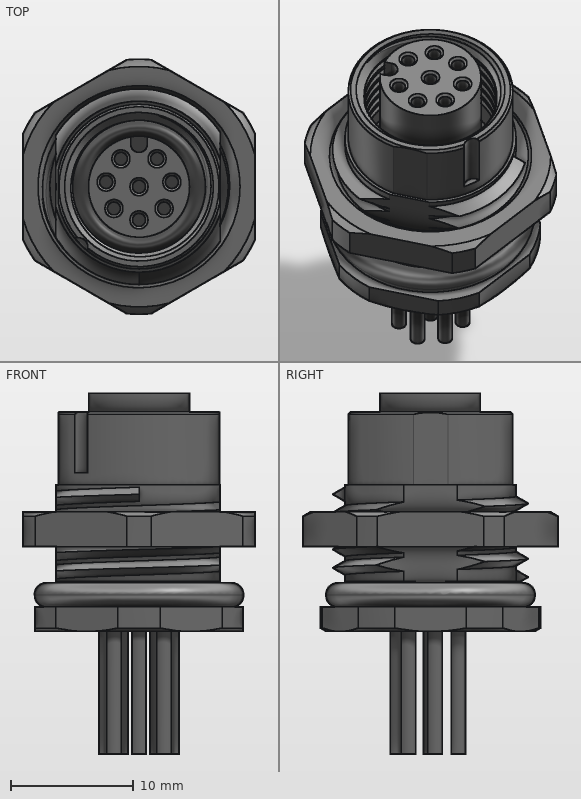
import cadquery as cq
import math


wire_radius = 0.6
wire_length = 10.05
contact_circle_radius = 2.72
contact_pitch_angle = 49.0
outer_contact_count = 7
contact_hole_radius = 0.53
contact_mouth_radius = 0.75
contact_hole_depth = 5.9

flange_across_flats = 17.05
flange_corner_radius = 9.0
flange_thickness = 2.0
ring_section_radius = 1.0
ring_outer_radius = 8.57
ring_squeeze = 0.03
ring_center_radius = ring_outer_radius - ring_section_radius
ring_center_z = flange_thickness + ring_section_radius - ring_squeeze

neck_radius = 6.77
neck_top_z = 4.1
stem_core_radius = 7.0
stem_top_z = 12.0
thread_crest_radius = 8.0
thread_pitch = 1.5
thread_turns = 4.5
thread_end_z = 11.23
flat_left_x = -6.8
flat_right_x = 6.65

collar_radius = 6.75
collar_top_z = 17.97
collar_chamfer = 0.192
collar_flat_x = 6.6
keyway_radius = 0.8
keyway_center_radius = 7.03
keyway_floor_z = 12.97
keyway_angle = 225.0

insert_radius = 4.15
insert_top_z = 19.5
socket_radius = 5.45
socket_floor_z = 10.05
socket_mouth_radius = 6.1
seal_bulge = 0.6
socket_thread_pitch = 1.0
socket_thread_major_radius = 6.03
socket_thread_turns = 7.5
socket_thread_start_z = 11.67
key_slot_width = 1.35
key_slot_floor_y = 2.8

nut_across_flats = 19.0
nut_across_corners = 20.9
nut_corner_radius = nut_across_corners / 2
nut_top_face_radius = 9.85
nut_bottom_z = 6.95
nut_height = 2.85
nut_bore_radius = 7.3
nut_bore_mouth_radius = 8.27

thread_flank_slope = math.tan(math.radians(30))
hex_chamfer_slope = math.tan(math.radians(30))
thread_root_overlap = 0.1
trim_width = 29.55


def cylinder(radius, bottom_z, top_z):
    return cq.Workplane("XY", origin=(0, 0, bottom_z)).circle(radius).extrude(top_z - bottom_z)


def hex_prism(across_flats, corner_radius, bottom_z, height):
    """Hexagon with flats facing +X and -X and its corners turned to a cylinder."""
    prism = (
        cq.Workplane("XY", origin=(0, 0, bottom_z))
        .polygon(6, across_flats / math.cos(math.radians(30)))
        .extrude(height)
        .rotate((0, 0, 0), (0, 0, 1), 30)
    )
    return prism.intersect(cylinder(corner_radius, bottom_z, bottom_z + height))


def hex_chamfer_cutter(face_radius, corner_radius, face_z, inward):
    """Ring that bevels hexagon corners at the face face_z; inward is the Z sign into the body."""
    reach = 2 * (corner_radius - face_radius)
    return (
        cq.Workplane("XZ")
        .moveTo(face_radius, face_z)
        .lineTo(face_radius + reach, face_z)
        .lineTo(face_radius + reach, face_z + inward * reach * hex_chamfer_slope)
        .close()
        .revolve(360, (0, 0, 0), (0, 1, 0))
    )


def helical_vee(root_radius, crest_radius, pitch, turns, start_z):
    """Triangular ridge wound around Z, starting at +X; the crest points away from the axis."""
    base_radius = root_radius - thread_root_overlap
    half_base = (crest_radius - base_radius) * thread_flank_slope
    helix = cq.Wire.makeHelix(pitch, pitch * turns, base_radius)
    ridge = (
        cq.Workplane("XZ")
        .moveTo(base_radius, -half_base)
        .lineTo(crest_radius, 0)
        .lineTo(base_radius, half_base)
        .close()
        .sweep(cq.Workplane(obj=helix), isFrenet=True)
    )
    return ridge.translate((0, 0, start_z))


def threaded_rod(core_radius, thread, bottom_z, top_z):
    """Core cylinder and thread ridge in one solid."""
    return cylinder(core_radius, bottom_z, top_z).union(thread)


def contact_positions():
    """Axis position first, then the outer contacts, centred on -Y."""
    positions = [(0, 0)]
    for index in range(outer_contact_count):
        steps_from_middle = index - (outer_contact_count - 1) / 2
        angle = math.radians(270 + steps_from_middle * contact_pitch_angle)
        positions.append((contact_circle_radius * math.cos(angle), contact_circle_radius * math.sin(angle)))
    return positions


def flat_trim(left_x, right_x, bottom_z, top_z):
    """Slab that leaves only the material between two flats across X."""
    return (
        cq.Workplane("XY", origin=((left_x + right_x) / 2, 0, bottom_z))
        .rect(right_x - left_x, trim_width)
        .extrude(top_z - bottom_z)
    )


def stem_thread():
    start_z = thread_end_z - thread_pitch * thread_turns
    ridge = helical_vee(stem_core_radius, thread_crest_radius, thread_pitch, thread_turns, start_z)
    return ridge.rotate((0, 0, 0), (0, 0, 1), 90)


def make_flange():
    flange = hex_prism(flange_across_flats, flange_corner_radius, 0, flange_thickness)
    return flange.cut(hex_chamfer_cutter(flange_across_flats / 2, flange_corner_radius, 0, 1))


def make_sealing_ring():
    return (
        cq.Workplane("XZ")
        .center(ring_center_radius, ring_center_z)
        .circle(ring_section_radius)
        .revolve(360, (-ring_center_radius, 0, 0), (-ring_center_radius, 1, 0))
    )


def make_stem():
    stem = threaded_rod(stem_core_radius, stem_thread(), neck_top_z, stem_top_z)
    stem = stem.intersect(flat_trim(flat_left_x, flat_right_x, neck_top_z, stem_top_z))
    neck = cylinder(neck_radius, flange_thickness, neck_top_z)
    neck = neck.intersect(flat_trim(flat_left_x, flat_right_x, flange_thickness, neck_top_z))
    return stem.union(neck)


def make_collar():
    collar = cylinder(collar_radius, stem_top_z, collar_top_z).faces(">Z").chamfer(collar_chamfer)
    collar = collar.intersect(flat_trim(-collar_flat_x, collar_flat_x, stem_top_z, collar_top_z))
    angle = math.radians(keyway_angle)
    keyway = cylinder(keyway_radius, keyway_floor_z, collar_top_z).translate(
        (keyway_center_radius * math.cos(angle), keyway_center_radius * math.sin(angle), 0)
    )
    return collar.cut(keyway)


def bevel_cutter(bore_radius, mouth_radius, face_z, outward):
    """45 degree cone that opens a bore at the face face_z; outward is the Z sign out of the body."""
    return (
        cq.Workplane("XZ")
        .moveTo(0, face_z)
        .lineTo(mouth_radius, face_z)
        .lineTo(bore_radius, face_z - outward * (mouth_radius - bore_radius))
        .lineTo(0, face_z - outward * (mouth_radius - bore_radius))
        .close()
        .revolve(360, (0, 0, 0), (0, 1, 0))
    )


def socket_cutter():
    """Bore with a female thread that runs out through the open end."""
    groove = helical_vee(
        socket_radius,
        socket_thread_major_radius,
        socket_thread_pitch,
        socket_thread_turns,
        socket_thread_start_z,
    )
    return threaded_rod(socket_radius, groove, socket_floor_z, insert_top_z)


def make_socket_seal():
    """Ring with a rounded top that fills the socket floor between insert and wall."""
    return (
        cq.Workplane("XZ")
        .moveTo(insert_radius, socket_floor_z)
        .threePointArc(
            ((insert_radius + socket_radius) / 2, socket_floor_z + seal_bulge),
            (socket_radius, socket_floor_z),
        )
        .close()
        .revolve(360, (0, 0, 0), (0, 1, 0))
    )


def key_slot_cutter():
    half_width = key_slot_width / 2
    return (
        cq.Workplane("XY", origin=(0, 0, socket_floor_z + seal_bulge))
        .moveTo(-half_width, insert_radius)
        .lineTo(-half_width, key_slot_floor_y + half_width)
        .threePointArc((0, key_slot_floor_y), (half_width, key_slot_floor_y + half_width))
        .lineTo(half_width, insert_radius)
        .close()
        .extrude(insert_top_z - socket_floor_z)
    )


def contact_hole_cutter():
    mouth_depth = contact_mouth_radius - contact_hole_radius
    return (
        cq.Workplane("XZ")
        .moveTo(0, insert_top_z)
        .lineTo(contact_mouth_radius, insert_top_z)
        .lineTo(contact_hole_radius, insert_top_z - mouth_depth)
        .lineTo(contact_hole_radius, insert_top_z - contact_hole_depth)
        .lineTo(0, insert_top_z - contact_hole_depth)
        .close()
        .revolve(360, (0, 0, 0), (0, 1, 0))
    )


def make_connector():
    body = make_flange().union(make_stem()).union(make_sealing_ring()).union(make_collar())
    body = body.cut(socket_cutter())
    body = body.cut(bevel_cutter(socket_radius, socket_mouth_radius, collar_top_z, 1))
    body = body.union(make_socket_seal())
    body = body.union(cylinder(insert_radius, socket_floor_z, insert_top_z))
    body = body.cut(key_slot_cutter())
    for x, y in contact_positions():
        body = body.cut(contact_hole_cutter().translate((x, y, 0)))
        body = body.union(cylinder(wire_radius, -wire_length, 0).translate((x, y, 0)))
    return body


def make_nut():
    """Hexagonal nut whose female thread fits the ridge of the stem."""
    nut_top_z = nut_bottom_z + nut_height
    nut = hex_prism(nut_across_flats, nut_corner_radius, nut_bottom_z, nut_height)
    nut = nut.cut(hex_chamfer_cutter(nut_top_face_radius, nut_corner_radius, nut_top_z, -1))
    nut = nut.cut(threaded_rod(nut_bore_radius, stem_thread(), neck_top_z, stem_top_z))
    nut = nut.cut(bevel_cutter(nut_bore_radius, nut_bore_mouth_radius, nut_top_z, 1))
    return nut.cut(bevel_cutter(nut_bore_radius, nut_bore_mouth_radius, nut_bottom_z, -1))


connector = make_connector()
nut = make_nut()
result = cq.Compound.makeCompound([connector.val(), nut.val()])